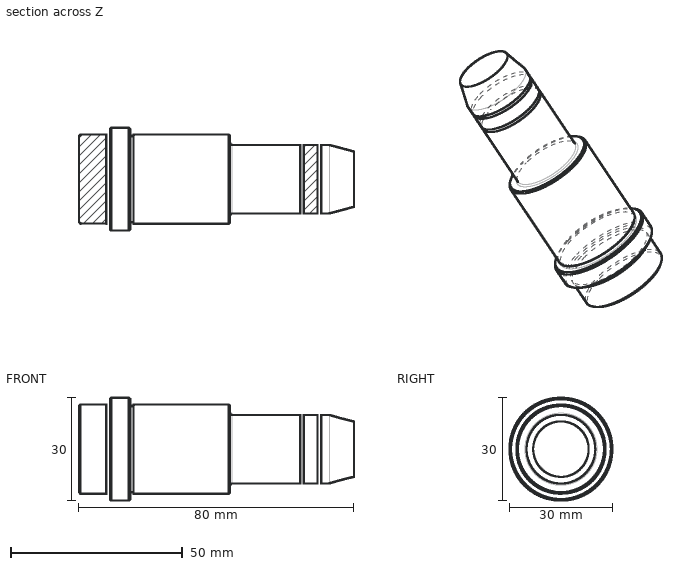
import cadquery as cq
import math

overall_length = 80.0
flange_start = 9.0
flange_end = 15.0
shoulder_end = 44.0
shank_groove_starts = (64.4, 69.4)
taper_length = 7.2

body_radius = 26.0 / 2
flange_radius = 30.0 / 2
shank_radius = 20.0 / 2

groove_width = 1.0
edge_chamfer = 0.5
root_fillet = 0.5
taper_angle = math.radians(15.0)


def cylinder(start, end, radius):
    """Cylinder on the X axis between two axial positions."""
    return cq.Workplane("YZ").workplane(offset=start).circle(radius).extrude(end - start)


def ring_cutter(start, surface_radius):
    """Torus that cuts a half-round groove into a cylindrical surface."""
    center = start + groove_width / 2
    return (
        cq.Workplane("XY")
        .center(center, surface_radius)
        .circle(groove_width / 2)
        .revolve(360, (-center, -surface_radius), (0.8 - center, -surface_radius))
    )


def shank():
    """Slim shank with a tapered lead-in at its free end."""
    taper_start = overall_length - taper_length
    tip_radius = shank_radius - taper_length * math.tan(taper_angle)
    fillet_end = shoulder_end + root_fillet
    fillet_radius = shank_radius + root_fillet
    arc_offset = root_fillet * math.sqrt(0.5)
    return (
        cq.Workplane("XY")
        .moveTo(shoulder_end, 0)
        .lineTo(shoulder_end, fillet_radius)
        .threePointArc(
            (fillet_end - arc_offset, fillet_radius - arc_offset),
            (fillet_end, shank_radius),
        )
        .lineTo(taper_start, shank_radius)
        .lineTo(overall_length, tip_radius)
        .lineTo(overall_length, 0)
        .close()
        .revolve(360, (0, 0), (1, 0))
    )


body = cylinder(0, shoulder_end, body_radius).edges().chamfer(edge_chamfer)
flange = cylinder(flange_start, flange_end, flange_radius).edges().chamfer(edge_chamfer)
result = body.union(flange).union(shank())

for groove_start in (flange_start - groove_width, flange_end):
    result = result.cut(ring_cutter(groove_start, body_radius))

for groove_start in shank_groove_starts:
    result = result.cut(ring_cutter(groove_start, shank_radius))